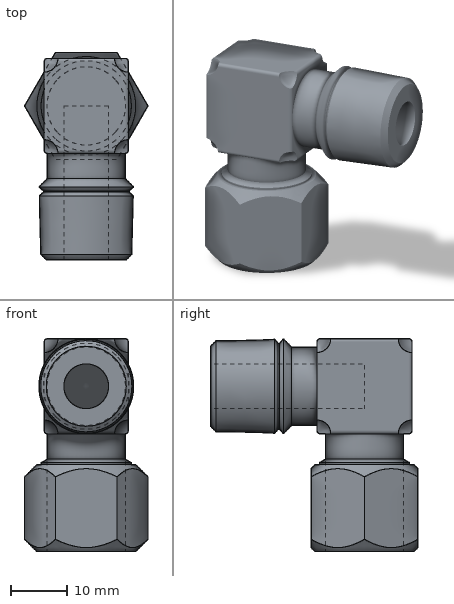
import cadquery as cq

BLOCK_WIDTH = 15.05
BLOCK_SIDE = 17.0
EDGE_RADIUS = 0.6
SCALLOP_RADIUS = 2.47
SEAM_TURN = 25

STEM_RADIUS = 7.0
COLLAR_START = 13.0

MALE_END = 27.5
COLLAR_RADIUS = 8.48
GROOVE_RADIUS = 7.7
GROOVE_START = 15.17
GROOVE_WIDTH = 0.23
THREAD_START = 16.05
THREAD_START_RADIUS = 8.4
THREAD_END_RADIUS = 8.15
TIP_CHAMFER = 1.0
BORE_RADIUS = 4.0

TOTAL_HEIGHT = 38.03
NUT_CORNERS = 22.05
NUT_HEIGHT = 15.55
NUT_FACE_RADIUS = 8.82
NUT_BOTTOM = BLOCK_SIDE / 2 - TOTAL_HEIGHT
NUT_TOP = NUT_BOTTOM + NUT_HEIGHT

RING_RADIUS = 8.05
RING_CONE_HEIGHT = 0.65


def make_block():
    """Block with rounded edges and a spherical hollow at each of its eight corners."""
    sharp_block = cq.Workplane("XY").box(BLOCK_WIDTH, BLOCK_SIDE, BLOCK_SIDE)
    block = sharp_block.edges().fillet(EDGE_RADIUS)
    ball = cq.Workplane("XY").sphere(SCALLOP_RADIUS).rotate((0, 0, 0), (1, 1, 0), SEAM_TURN)
    for corner in sharp_block.vertices().vals():
        block = block.cut(ball.translate(corner.toTuple()))
    return block


def make_male_end():
    """Stem, sharp collar, groove and tapered thread, turned about the Y axis."""
    collar_peak = COLLAR_START + COLLAR_RADIUS - STEM_RADIUS
    profile = [
        (0, 0),
        (STEM_RADIUS, 0),
        (STEM_RADIUS, -COLLAR_START),
        (COLLAR_RADIUS, -collar_peak),
        (GROOVE_RADIUS, -GROOVE_START),
        (GROOVE_RADIUS, -GROOVE_START - GROOVE_WIDTH),
        (THREAD_START_RADIUS, -THREAD_START),
        (THREAD_END_RADIUS, -MALE_END + TIP_CHAMFER),
        (THREAD_END_RADIUS - TIP_CHAMFER, -MALE_END),
        (0, -MALE_END),
    ]
    return cq.Workplane("XY").polyline(profile).close().revolve(360, (0, 0), (0, 1))


def make_elbow():
    nut_stem = cq.Workplane("XY").circle(STEM_RADIUS).extrude(NUT_BOTTOM)
    bore = cq.Workplane("XZ").circle(BORE_RADIUS).extrude(MALE_END)
    return make_block().union(make_male_end()).union(nut_stem).cut(bore)


def make_nut():
    """Hexagon with 45 degree conical chamfers at both ends, bored for the stem."""
    corner_radius = NUT_CORNERS / 2
    chamfer = corner_radius - NUT_FACE_RADIUS
    hexagon = cq.Workplane("XY", origin=(0, 0, NUT_BOTTOM)).polygon(6, NUT_CORNERS).extrude(NUT_HEIGHT)
    envelope = (
        cq.Workplane("XY", origin=(0, 0, NUT_BOTTOM))
        .circle(corner_radius)
        .extrude(NUT_HEIGHT)
        .faces("<Z or >Z")
        .chamfer(chamfer)
    )
    hole = cq.Workplane("XY", origin=(0, 0, NUT_BOTTOM)).circle(STEM_RADIUS).extrude(NUT_HEIGHT)
    return hexagon.intersect(envelope).cut(hole)


def make_ring():
    """Ring around the stem: a cone above a short cylinder that rests on the nut."""
    profile = [
        (STEM_RADIUS, -COLLAR_START),
        (RING_RADIUS, -COLLAR_START - RING_CONE_HEIGHT),
        (RING_RADIUS, NUT_TOP),
        (STEM_RADIUS, NUT_TOP),
    ]
    return cq.Workplane("XZ").polyline(profile).close().revolve(360, (0, 0), (0, 1))


elbow = make_elbow()
nut = make_nut()
ring = make_ring()

result = cq.Compound.makeCompound([elbow.val(), nut.val(), ring.val()])